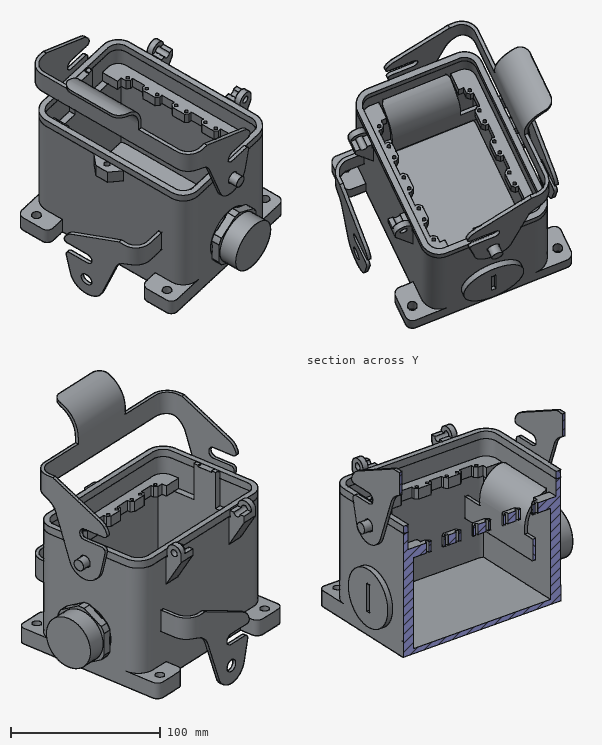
import cadquery as cq
import math


housing_length = 132.3
housing_width = 91.0
housing_height = 100.2
corner_radius = 12.9
wall = 4.2
floor_thickness = 4.2
rim_height = 5.7
inner_length = housing_length - 2 * wall
inner_width = housing_width - 2 * wall
rim_bottom = housing_height - rim_height

foot_length = 26.6
foot_span = 121.1
foot_height = 12.3
foot_radius = 5.1
mount_hole_diameter = 6.5
mount_pitch_x = 111.2
mount_pitch_y = 106.2

shelf_top = 81.2
shelf_thickness = 8.0
shelf_bottom = shelf_top - shelf_thickness
shelf_end_y = 26.3
shelf_middle_y = 30.1
shelf_step_x = 48.9
recess_pitch = 25.0
recess_count = 4
recess_half_width = 5.1
recess_mouth = 7.4
recess_floor_y = 34.5
recess_chamfer = recess_mouth - recess_half_width
shelf_hole_diameter = 2.4
shelf_hole_y = 33.0
shelf_hole_offset = 8.0
end_wall_x = 57.2

clip_half_width = 9.4
clip_gap = 11.8
clip_step = 1.5
clip_top = 101.3

lug_radius = 6.0
lug_hole_diameter = 5.1
lug_center_y = 52.4
lug_center_z = 99.6
lug_foot_z = 72.8
lug_outer_x = 39.5
lug_eye_thickness = 4.5
lug_cradle_length = 7.9

stop_depth = 7.7
stop_front_width = 10.0
stop_height = 10.0
stop_hole_diameter = 4.0
stop_hole_from_wall = 2.0

pin_diameter = 8.0
pin_reach = 76.3
pin_height = 87.3
port_height = 32.0
plug_diameter = 44.0
plug_thickness = 4.0
plug_slot_length = 21.1
plug_slot_width = 3.0
plug_slot_depth = 2.2
gland_collar_diameter = 39.0
gland_collar_length = 1.5
gland_nut_flats = 39.9
gland_nut_diameter = 43.4
gland_nut_length = 6.2
gland_diameter = 38.0
gland_end_x = 87.3

lever_span = 139.5
lever_sheet = 2.5
lever_bend_radius = 12.5
lever_hole_diameter = 9.0
lever_eye_radius = 14.0
lever_front = 44.8
bridge_top = 55.0
bridge_bottom = 38.2
arm_back = 22.0
slope_start = 27.8
hook_shoulder = (17.0, 33.8)
hook_shoulder_radius = 12.0
hook_tip = 20.0
hook_tip_radius = 2.5
slot_top = 25.0
slot_bottom = 16.7
slot_end = 4.6
lip_tip = 18.2
lip_radius = 3.1
neck_x = 28.5
neck_radius = 15.0
handle_width = 50.0
handle_inner_radius = 20.0
handle_top = 82.5
handle_corner_radius = 7.9


def rounded_box(length, width, height, radius, bottom=0.0):
    """Upright box with rounded vertical edges."""
    box = cq.Workplane("XY", origin=(0, 0, bottom)).rect(length, width).extrude(height)
    return box.edges("|Z").fillet(radius)


def x_cylinder(diameter, x_start, x_end, y, z):
    """Cylinder along X."""
    return cq.Workplane("YZ", origin=(x_start, y, z)).circle(diameter / 2).extrude(x_end - x_start)


def rounded_outline(corners, plane):
    """Closed outline through (x, y, radius) corners, each rounded by its radius."""
    path = None
    for index, (x, y, radius) in enumerate(corners):
        ends = [corners[index - 1], corners[(index + 1) % len(corners)]]
        here = cq.Vector(x, y)
        if radius == 0:
            path = path.lineTo(x, y) if path else plane.moveTo(x, y)
            continue
        before, after = [(cq.Vector(end[0], end[1]) - here).normalized() for end in ends]
        half_angle = before.getAngle(after) / 2
        setback = radius / math.tan(half_angle)
        middle = (before + after).normalized() * (radius / math.sin(half_angle) - radius)
        first, mid, last = here + before * setback, here + middle, here + after * setback
        path = path.lineTo(first.x, first.y) if path else plane.moveTo(first.x, first.y)
        path = path.threePointArc((mid.x, mid.y), (last.x, last.y))
    return path.close()


def eye_tangent_point(x, y, side):
    """Point where the line from (x, y) touches the lever eye, centred on the pivot."""
    angle = math.atan2(y, x) + side * math.acos(lever_eye_radius / math.hypot(x, y))
    return lever_eye_radius * math.cos(angle), lever_eye_radius * math.sin(angle)


def lever_side():
    """Side outline of the lever, extruded along its whole span; the bridge is at -Y."""
    back_x, back_z = eye_tangent_point(-lip_tip, slot_bottom, 1)
    front_x, front_z = eye_tangent_point(neck_x, bridge_bottom, -1)
    slot_radius = (slot_top - slot_bottom) / 2
    slot_center_y = slot_end - slot_radius
    corners = [
        (lever_front, bridge_bottom, 0),
        (lever_front, bridge_top, 0),
        (slope_start, bridge_top, 0),
        (-hook_shoulder[0], hook_shoulder[1], hook_shoulder_radius),
        (-hook_tip, slot_top, hook_tip_radius),
        (slot_center_y, slot_top, 0),
        (slot_center_y, slot_bottom, 0),
        (-lip_tip, slot_bottom, lip_radius),
        (back_x, back_z, 0),
        (front_x, front_z, 0),
        (neck_x, bridge_bottom, neck_radius),
    ]
    plane = cq.Workplane(cq.Plane(origin=(-lever_span / 2, 0, 0), xDir=(0, -1, 0), normal=(-1, 0, 0)))
    side = rounded_outline(corners, plane).extrude(-lever_span)
    eye = x_cylinder(2 * lever_eye_radius, -lever_span / 2, lever_span / 2, 0, 0)
    hole = x_cylinder(lever_hole_diameter, -lever_span / 2, lever_span / 2, 0, 0)
    slot = x_cylinder(
        2 * slot_radius, -lever_span / 2, lever_span / 2, -slot_center_y, slot_bottom + slot_radius
    )
    return side.union(eye).cut(hole).cut(slot)


def lever_handle():
    """Curved thumb tab that rises from the bridge and curls outward."""
    outer_radius = handle_inner_radius + lever_sheet
    center_y = -lever_front - handle_inner_radius
    center_z = handle_top - outer_radius
    tab = (
        cq.Workplane("YZ", origin=(-handle_width / 2, 0, 0))
        .moveTo(-lever_front, bridge_bottom)
        .lineTo(-lever_front, center_z)
        .radiusArc((center_y, center_z + handle_inner_radius), -handle_inner_radius)
        .lineTo(center_y, handle_top)
        .radiusArc((-lever_front + lever_sheet, center_z), outer_radius)
        .lineTo(-lever_front + lever_sheet, bridge_bottom)
        .close()
        .extrude(handle_width)
    )
    reach = lever_front + handle_inner_radius
    plan = (
        cq.Workplane("XY")
        .center(0, -reach / 2)
        .rect(handle_width, reach)
        .extrude(handle_top)
        .edges("|Z and <Y")
        .fillet(handle_corner_radius)
    )
    return tab.intersect(plan)


def make_lever():
    """Bent sheet lever with its pivot axis along X through the origin."""
    depth = lever_front + arm_back
    height = bridge_top + lever_eye_radius

    def plan(inset):
        block = (
            cq.Workplane("XY", origin=(0, 0, -lever_eye_radius))
            .center(0, (arm_back - lever_front + inset) / 2)
            .rect(lever_span - 2 * inset, depth - inset)
            .extrude(height)
        )
        return block.edges("|Z and <Y").fillet(lever_bend_radius - inset)

    return plan(0).cut(plan(lever_sheet)).intersect(lever_side()).union(lever_handle())


def make_shell():
    """Box with feet, cavity and thick lower end walls."""
    shell = rounded_box(housing_length, housing_width, rim_bottom, corner_radius)
    foot_x = (housing_length - foot_length) / 2
    for side in (-1, 1):
        foot = rounded_box(foot_length, foot_span, foot_height, foot_radius)
        shell = shell.union(foot.translate((side * foot_x, 0, 0)))
    cavity = rounded_box(inner_length, inner_width, rim_bottom, corner_radius - wall, floor_thickness)
    end_limit = cq.Workplane("XY").rect(2 * end_wall_x, housing_width).extrude(shelf_bottom)
    upper_limit = (
        cq.Workplane("XY", origin=(0, 0, shelf_bottom))
        .rect(housing_length, housing_width)
        .extrude(housing_height)
    )
    shell = shell.cut(cavity.intersect(end_limit.union(upper_limit)))
    holes = (
        cq.Workplane("XY")
        .rect(mount_pitch_x, mount_pitch_y, forConstruction=True)
        .vertices()
        .circle(mount_hole_diameter / 2)
        .extrude(foot_height)
    )
    return shell.cut(holes)


def make_shelf():
    """Contact shelf along the +Y wall, with recesses and screw holes."""
    cavity = rounded_box(inner_length, inner_width, shelf_thickness, corner_radius - wall, shelf_bottom)
    half_length = inner_length / 2
    strip = (
        cq.Workplane("XY", origin=(0, 0, shelf_bottom))
        .polyline([
            (-half_length, shelf_end_y),
            (-shelf_step_x, shelf_end_y),
            (-shelf_step_x, shelf_middle_y),
            (shelf_step_x, shelf_middle_y),
            (shelf_step_x, shelf_end_y),
            (half_length, shelf_end_y),
            (half_length, inner_width / 2),
            (-half_length, inner_width / 2),
        ])
        .close()
        .extrude(shelf_thickness)
    )
    shelf = strip.intersect(cavity)
    recess = (
        cq.Workplane("XY", origin=(0, 0, shelf_bottom))
        .polyline([
            (-recess_mouth, shelf_middle_y),
            (-recess_half_width, shelf_middle_y + recess_chamfer),
            (-recess_half_width, recess_floor_y),
            (recess_half_width, recess_floor_y),
            (recess_half_width, shelf_middle_y + recess_chamfer),
            (recess_mouth, shelf_middle_y),
        ])
        .close()
        .extrude(shelf_thickness)
    )
    holes = (
        cq.Workplane("XY", origin=(0, 0, shelf_bottom))
        .pushPoints([(-shelf_hole_offset, shelf_hole_y), (shelf_hole_offset, shelf_hole_y)])
        .circle(shelf_hole_diameter / 2)
        .extrude(shelf_thickness)
    )
    for index in range(recess_count):
        recess_x = (index - (recess_count - 1) / 2) * recess_pitch
        shelf = shelf.cut(recess.translate((recess_x, 0, 0))).cut(holes.translate((recess_x, 0, 0)))
    return shelf


def make_clip():
    """Guide block on the -X end wall with two raised tabs."""
    wall_x = -inner_length / 2
    depth = inner_length / 2 - end_wall_x
    block = cq.Workplane("XY").box(
        depth, 2 * clip_half_width, housing_height - shelf_bottom, centered=(False, True, False)
    )
    tabs = cq.Workplane("XY").box(
        depth - clip_step, 2 * clip_half_width, clip_top - shelf_bottom, centered=(False, True, False)
    )
    gap = cq.Workplane("XY").box(depth, clip_gap, clip_top, centered=(False, True, False))
    clip = block.union(tabs.cut(gap).translate((clip_step, 0, 0)))
    return clip.translate((wall_x, 0, shelf_bottom))


def make_lug():
    """Hinge lug on the +Y wall at its -X end: a full eye and a half-open cradle."""
    length = lug_eye_thickness + lug_cradle_length
    wall_y = housing_width / 2
    start_x = -lug_outer_x
    base = (
        cq.Workplane("YZ", origin=(start_x, 0, 0))
        .polyline([
            (wall_y, lug_foot_z),
            (lug_center_y + lug_radius, rim_bottom),
            (lug_center_y + lug_radius, lug_center_z),
            (lug_center_y - lug_radius, lug_center_z),
            (lug_center_y - lug_radius, rim_bottom),
            (wall_y, rim_bottom),
        ])
        .close()
        .extrude(length)
    )
    eye = x_cylinder(2 * lug_radius, start_x, start_x + lug_eye_thickness, lug_center_y, lug_center_z)
    hole = x_cylinder(lug_hole_diameter, start_x, start_x + length, lug_center_y, lug_center_z)
    return base.union(eye).cut(hole)


def make_stop():
    """Tapered stop block on the -Y wall with a vertical hole."""
    wall_y = -housing_width / 2
    front_y = wall_y - stop_depth
    front_x = stop_front_width / 2
    base_x = front_x + stop_depth
    block = (
        cq.Workplane("XY", origin=(0, 0, rim_bottom - stop_height))
        .polyline([(-base_x, wall_y), (-front_x, front_y), (front_x, front_y), (base_x, wall_y)])
        .close()
        .extrude(stop_height)
    )
    hole = (
        cq.Workplane("XY", origin=(0, wall_y - stop_hole_from_wall, rim_bottom - stop_height))
        .circle(stop_hole_diameter / 2)
        .extrude(stop_height)
    )
    return block.cut(hole)


def make_plug():
    """Slotted screw plug on the -X wall."""
    wall_x = -housing_length / 2
    outer_x = wall_x - plug_thickness
    plug = x_cylinder(plug_diameter, outer_x, wall_x, 0, port_height)
    slot = (
        cq.Workplane("YZ", origin=(outer_x, 0, port_height))
        .rect(plug_slot_width, plug_slot_length)
        .extrude(plug_slot_depth)
    )
    return plug.cut(slot)


def make_gland():
    """Cable gland on the +X wall: collar, hexagon nut and sleeve."""
    wall_x = housing_length / 2
    nut_x = wall_x + gland_collar_length
    sleeve_x = nut_x + gland_nut_length
    collar = x_cylinder(gland_collar_diameter, wall_x, nut_x, 0, port_height)
    nut = (
        cq.Workplane("YZ", origin=(nut_x, 0, port_height))
        .polygon(6, gland_nut_flats, circumscribed=True)
        .extrude(gland_nut_length)
    )
    nut = nut.intersect(x_cylinder(gland_nut_diameter, nut_x, sleeve_x, 0, port_height))
    sleeve = x_cylinder(gland_diameter, sleeve_x, gland_end_x, 0, port_height)
    return collar.union(nut).union(sleeve)


def make_housing(passing_lever):
    """Housing with everything fixed to it, cleared where a lever passes through its walls."""
    shelf = make_shelf()
    lug = make_lug()
    housing = make_shell().union(shelf).union(shelf.mirror("XZ"))
    housing = housing.union(make_clip()).union(lug).union(lug.mirror("YZ"))
    housing = housing.union(make_stop()).union(make_plug()).union(make_gland())
    pin = x_cylinder(pin_diameter, housing_length / 2, pin_reach, 0, pin_height)
    housing = housing.union(pin).union(pin.mirror("YZ"))
    return housing.cut(passing_lever)


def make_rim():
    """Ring that closes the top of the housing wall."""
    outer = rounded_box(housing_length, housing_width, rim_height, corner_radius, rim_bottom)
    inner = rounded_box(inner_length, inner_width, rim_height, corner_radius - wall, rim_bottom)
    return outer.cut(inner)


levers = []
for turn, pivot_z in ((0, pin_height), (90, 0)):
    lever = make_lever().rotate((0, 0, 0), (0, 0, 1), turn).translate((0, 0, pivot_z))
    levers.append(lever)

housing = make_housing(levers[1])
rim = make_rim()

result = cq.Compound.makeCompound([housing.val(), rim.val(), *[lever.val() for lever in levers]])